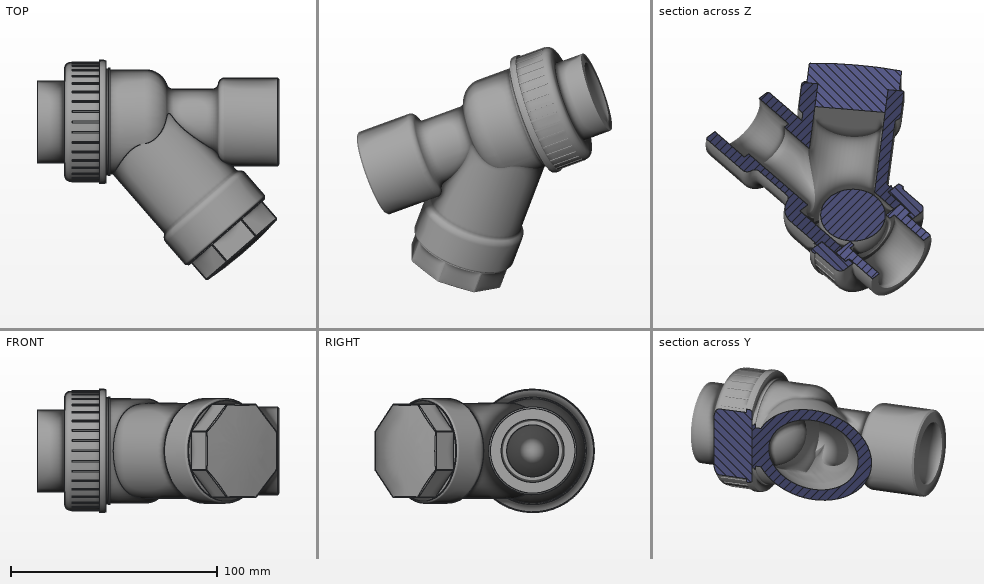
import cadquery as cq
import math


overall_length = 117.24
socket_bore_radius = 30.6 / 2
socket_depth = 21.0
flow_radius = 25.2 / 2

tail_radius = 39.8 / 2
tail_collar_radius = 44.5 / 2
tail_collar_start = 16.5
tail_end = 24.0

nut_start = 13.2
nut_end = 33.4
nut_radius = 28.9
nut_hole_radius = 40.5 / 2
nut_round = 3.1
nut_flange_start = 30.2
nut_flange_radius = 59.92 / 2
nut_flange_chamfer = 0.4
nut_flange_chamfer_length = 1.3
rib_count = 36
rib_start = 16.8
rib_width = 0.8
rib_height = 0.3
rib_end_round = 0.35

lip_radius = 25.8
ring_start = 34.4
ring_end = 35.2
ring_radius = 26.1
chamber_radius = 25.3
chamber_end = 52.4
dome_round = 11.0
neck_round = 3.0
neck_radius = 16.0
socket_radius = 42.6 / 2
socket_straight_start = 90.8
socket_round = 3.0
socket_edge = 0.8
chamber_bore_radius = 35.2 / 2
chamber_bore_end = 54.0

branch_angle = 49.0
branch_origin_x = 45.4
branch_radius = 46.2 / 2
branch_bore_radius = 35.2 / 2
hub_radius = 50.9 / 2
hub_straight_start = 55.1
hub_end = 70.1
hub_inner_round = 1.5
hub_outer_round = 3.5
hub_edge = 1.0

cap_sides = 8
cap_across_flats = 45.3
cap_corner_radius = 24.4
cap_dome_start = 81.8
cap_bevel_start = 81.5
cap_bevel_angle = 45
cap_flange_radius = 24.4
cap_flange_thickness = 0.6
cap_apex = 83.4
plug_start = 56.0

ball_radius = 33.0 / 2


def revolve_about_x(outline):
    """Turn a closed outline, drawn in XY above the X axis, into a solid of revolution."""
    return outline.close().revolve(360, (0, 0, 0), (1, 0, 0))


def cylinder_x(radius, start, end):
    return cq.Workplane("YZ", origin=(start, 0, 0)).circle(radius).extrude(end - start)


def on_branch(shape):
    """Move a shape built along X from the origin onto the branch axis."""
    turned = shape.rotate((0, 0, 0), (0, 0, 1), -branch_angle)
    return turned.translate((branch_origin_x, 0, 0))


def tangent_step(round_one, round_two, rise):
    """Axial length of two tangent arcs that join parallel lines a given rise apart."""
    reach = round_one + round_two
    return math.sqrt(reach**2 - (reach - rise) ** 2)


def make_tail():
    tail = cylinder_x(tail_radius, 0, tail_end)
    tail = tail.union(cylinder_x(tail_collar_radius, tail_collar_start, tail_end))
    tail = tail.cut(cylinder_x(flow_radius, 0, tail_end))
    return tail.cut(cylinder_x(socket_bore_radius, 0, socket_depth))


def make_nut():
    shell = cylinder_x(nut_radius, nut_start, nut_end).faces("<X").edges().fillet(nut_round)
    flange = revolve_about_x(
        cq.Workplane("XY")
        .moveTo(nut_flange_start, 0)
        .lineTo(nut_flange_start, nut_flange_radius)
        .lineTo(nut_end - nut_flange_chamfer_length, nut_flange_radius)
        .lineTo(nut_end, nut_flange_radius - nut_flange_chamfer)
        .lineTo(nut_end, 0)
    )
    nut = shell.union(flange)
    rib_length = nut_flange_start - rib_start
    rib = cq.Workplane("XY").box(rib_length, rib_width, 2 * rib_height, centered=(False, True, True))
    rib = rib.edges("<X and |Z").fillet(rib_end_round)
    for index in range(rib_count):
        placed = rib.translate((rib_start, 0, nut_radius))
        nut = nut.union(placed.rotate((0, 0, 0), (1, 0, 0), index * 360 / rib_count))
    nut = nut.cut(cylinder_x(nut_hole_radius, nut_start, tail_collar_start))
    return nut.cut(cylinder_x(tail_collar_radius, tail_collar_start, nut_end))


def make_main_line():
    dome_center_radius = chamber_radius - dome_round
    neck_center_radius = neck_radius + neck_round
    reach = dome_round + neck_round
    neck_start = chamber_end + math.sqrt(reach**2 - (neck_center_radius - dome_center_radius) ** 2)
    dome_share = dome_round / reach
    dome_end = chamber_end + dome_share * (neck_start - chamber_end)
    dome_end_radius = dome_center_radius + dome_share * (neck_center_radius - dome_center_radius)

    rise = socket_radius - neck_radius
    neck_end = socket_straight_start - tangent_step(socket_round, socket_round, rise)
    step_middle = (neck_end + socket_straight_start) / 2

    profile = (
        cq.Workplane("XY")
        .moveTo(tail_end, 0)
        .lineTo(tail_end, tail_collar_radius)
        .lineTo(nut_end, tail_collar_radius)
        .lineTo(nut_end, lip_radius)
        .lineTo(ring_start, lip_radius)
        .lineTo(ring_start, ring_radius)
        .lineTo(ring_end, ring_radius)
        .lineTo(ring_end, chamber_radius)
        .lineTo(chamber_end, chamber_radius)
        .tangentArcPoint((dome_end, dome_end_radius), relative=False)
        .tangentArcPoint((neck_start, neck_radius), relative=False)
        .lineTo(neck_end, neck_radius)
        .tangentArcPoint((step_middle, neck_radius + rise / 2), relative=False)
        .tangentArcPoint((socket_straight_start, socket_radius), relative=False)
        .lineTo(overall_length - socket_edge, socket_radius)
        .lineTo(overall_length, socket_radius - socket_edge)
        .lineTo(overall_length, 0)
    )
    return revolve_about_x(profile)


def make_branch():
    rise = hub_radius - branch_radius
    step_length = tangent_step(hub_inner_round, hub_outer_round, rise)
    step_start = hub_straight_start - step_length
    inner_share = hub_inner_round / (hub_inner_round + hub_outer_round)
    profile = (
        cq.Workplane("XY")
        .lineTo(0, branch_radius)
        .lineTo(step_start, branch_radius)
        .tangentArcPoint(
            (step_start + inner_share * step_length, branch_radius + inner_share * rise), relative=False
        )
        .tangentArcPoint((hub_straight_start, hub_radius), relative=False)
        .lineTo(hub_end - hub_edge, hub_radius)
        .tangentArcPoint((hub_end, hub_radius - hub_edge), relative=False)
        .lineTo(hub_end, 0)
    )
    return on_branch(revolve_about_x(profile))


def make_housing():
    housing = make_main_line().union(make_branch())
    housing = housing.cut(cylinder_x(chamber_bore_radius, tail_end, chamber_bore_end))
    housing = housing.cut(cylinder_x(flow_radius, tail_end, overall_length))
    housing = housing.cut(cylinder_x(socket_bore_radius, overall_length - socket_depth, overall_length))
    return housing.cut(on_branch(cylinder_x(branch_bore_radius, 0, hub_end)))


def cap_octagon(position):
    across_corners = cap_across_flats / math.cos(math.pi / cap_sides)
    plane = cq.Workplane("YZ", origin=(position, 0, 0))
    return plane.transformed(rotate=(0, 0, 180 / cap_sides)).polygon(cap_sides, across_corners)


def make_cap():
    bevel_height = cap_apex - cap_bevel_start
    octagon = cap_octagon(hub_end).extrude(cap_bevel_start - hub_end)
    octagon = octagon.union(cap_octagon(cap_bevel_start).extrude(bevel_height, taper=cap_bevel_angle))
    dome_rise = cap_apex - cap_dome_start
    dome_radius = (cap_corner_radius**2 + dome_rise**2) / (2 * dome_rise)
    half_reach = cap_corner_radius / 2
    half_drop = dome_radius - math.sqrt(dome_radius**2 - half_reach**2)
    crown = revolve_about_x(
        cq.Workplane("XY")
        .moveTo(hub_end, 0)
        .lineTo(hub_end, cap_corner_radius)
        .lineTo(cap_dome_start, cap_corner_radius)
        .threePointArc((cap_apex - half_drop, half_reach), (cap_apex, 0))
    )
    head = octagon.intersect(crown)
    flange = cylinder_x(cap_flange_radius, hub_end, hub_end + cap_flange_thickness)
    plug = cylinder_x(branch_bore_radius, plug_start, hub_end)
    return on_branch(head.union(flange).union(plug))


def make_ball():
    seat_offset = math.sqrt(ball_radius**2 - flow_radius**2)
    return cq.Workplane("XY", origin=(tail_end + seat_offset, 0, 0)).sphere(ball_radius)


tail = make_tail()
nut = make_nut()
housing = make_housing()
cap = make_cap()
ball = make_ball()

result = cq.Compound.makeCompound([tail.val(), nut.val(), housing.val(), cap.val(), ball.val()])